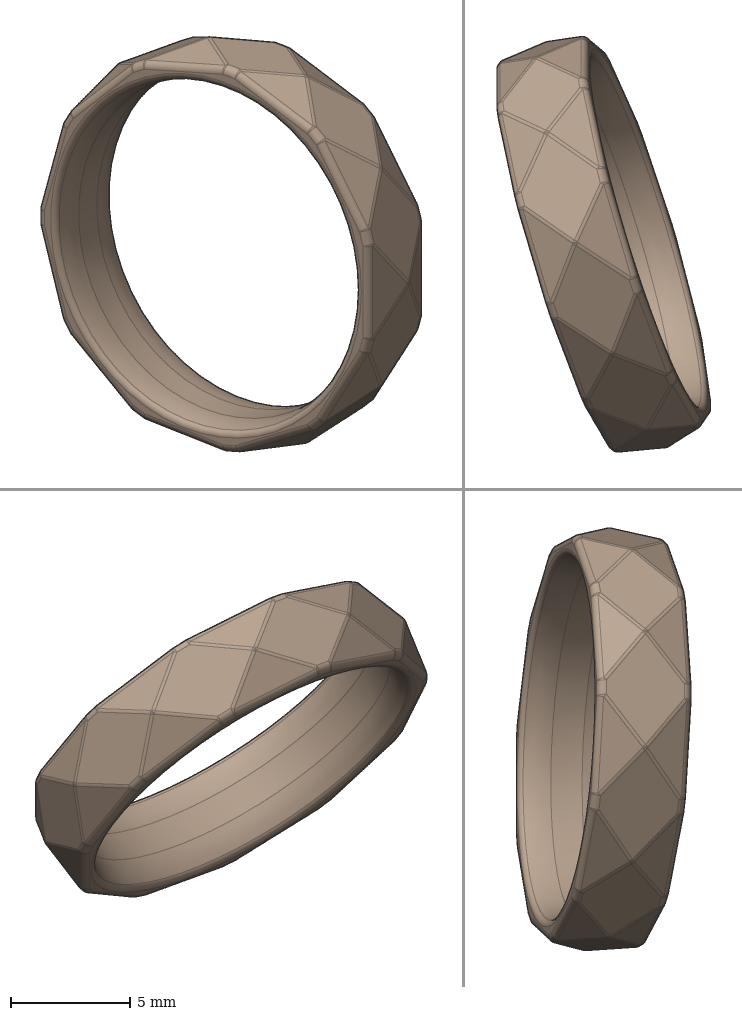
import cadquery as cq
import math

FACETS = 11
TIP_RADIUS = 8.986
WIDTH = 4.04
OUTER_ROUND = 0.35

BORE_RADIUS = 7.47
BORE_FLAT_WIDTH = 1.34
FLARE_RADIUS = 3.5
BORE_ROUND = 0.3

STEP = 2 * math.pi / FACETS
HALF_WIDTH = WIDTH / 2
DIAMOND_RADIUS = TIP_RADIUS * math.cos(STEP / 2)
RIM_EDGE_RADIUS = DIAMOND_RADIUS * math.cos(STEP / 2)
LEAN = math.atan2(TIP_RADIUS - RIM_EDGE_RADIUS, HALF_WIDTH)


def ring_point(radius, angle, y):
    return cq.Vector(radius * math.cos(angle), y, radius * math.sin(angle))


def closed_polygon(points):
    return cq.Wire.makePolygon(points, close=True)


def leaning_body(inset):
    """Mirrored frustums meeting at mid-width, with the triangle planes as sides, moved in by the inset."""
    tip_apothem = TIP_RADIUS - inset / math.cos(LEAN)
    half_width = HALF_WIDTH - inset
    rim_apothem = tip_apothem - half_width * math.tan(LEAN)

    def polygon(apothem, y):
        corner_radius = apothem / math.cos(STEP / 2)
        points = [ring_point(corner_radius, (i + 0.5) * STEP, y) for i in range(FACETS)]
        return closed_polygon(points)

    middle = polygon(tip_apothem, 0)
    near_half = cq.Solid.makeLoft([middle, polygon(rim_apothem, -half_width)], True)
    far_half = cq.Solid.makeLoft([middle, polygon(rim_apothem, half_width)], True)
    return cq.Workplane(near_half).union(cq.Workplane(far_half))


def diamond_prism(inset):
    """Prism whose sides are the diamond planes, moved in by the inset."""
    corner_radius = (DIAMOND_RADIUS - inset) / math.cos(STEP / 2)
    points = [ring_point(corner_radius, i * STEP, -HALF_WIDTH) for i in range(FACETS)]
    base = cq.Face.makeFromWires(closed_polygon(points))
    return cq.Workplane(cq.Solid.extrudeLinear(base, cq.Vector(0, WIDTH, 0)))


def faceted_body():
    """Facets moved in by the rounding radius, then grown back with rounded edges."""
    core = leaning_body(OUTER_ROUND).intersect(diamond_prism(OUTER_ROUND))
    skin = core.shell(OUTER_ROUND, kind="arc")
    return core.union(skin)


def bore_cutter():
    """Revolved bore profile, with a rounded lip that ends tangent to each face."""
    flat = BORE_FLAT_WIDTH / 2
    flare_centre = BORE_RADIUS + FLARE_RADIUS
    lip_centre_y = HALF_WIDTH - BORE_ROUND
    centre_gap = FLARE_RADIUS - BORE_ROUND
    lip_tilt = math.asin((lip_centre_y - flat) / centre_gap)
    lip_centre = flare_centre - centre_gap * math.cos(lip_tilt)

    def flare_point(tilt, side):
        x = flare_centre - FLARE_RADIUS * math.cos(tilt)
        return (x, side * (flat + FLARE_RADIUS * math.sin(tilt)))

    def lip_point(tilt, side):
        x = lip_centre - BORE_ROUND * math.cos(tilt)
        return (x, side * (lip_centre_y + BORE_ROUND * math.sin(tilt)))

    lip_middle = (lip_tilt + math.pi / 2) / 2
    return (
        cq.Workplane("XY")
        .moveTo(0, -HALF_WIDTH)
        .lineTo(lip_centre, -HALF_WIDTH)
        .threePointArc(lip_point(lip_middle, -1), lip_point(lip_tilt, -1))
        .threePointArc(flare_point(lip_tilt / 2, -1), (BORE_RADIUS, -flat))
        .lineTo(BORE_RADIUS, flat)
        .threePointArc(flare_point(lip_tilt / 2, 1), lip_point(lip_tilt, 1))
        .threePointArc(lip_point(lip_middle, 1), (lip_centre, HALF_WIDTH))
        .lineTo(0, HALF_WIDTH)
        .close()
        .revolve(360, (0, 0, 0), (0, 1, 0))
    )


result = faceted_body().cut(bore_cutter())